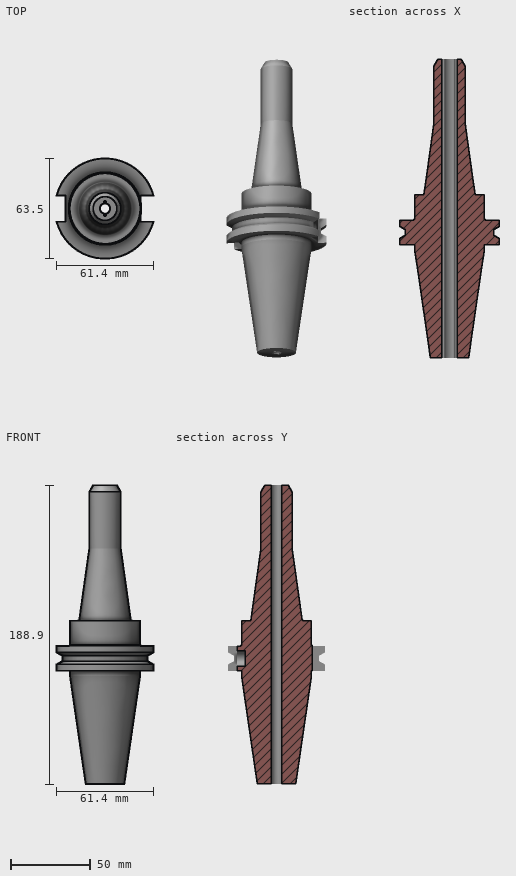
import cadquery as cq
import math

gauge_dia = 44.45
taper_length = 68.25
taper_ratio = 7 / 24
shank_end_dia = gauge_dia - taper_ratio * taper_length

flange_dia = 63.5
flange_bottom = 3.18
flange_height = 15.87
flange_top = flange_bottom + flange_height
groove_root_dia = 56.4
groove_root_width = 3.5
groove_wall_angle = 30
groove_center = 11.1

slot_width = 16.38
slot_floor_minus_x = 25.0
slot_floor_plus_x = 22.6
side_hole_dia = 9.5
side_hole_depth = 5.0

collar_dia = gauge_dia
collar_top = 35.05
cone_base_dia = 32.8
nose_dia = 20.0
nose_length = 40.0
nose_top = 120.65
nose_bottom = nose_top - nose_length
tip_dia = 15.0
tip_angle = 30
tip_height = (nose_dia - tip_dia) / 2 / math.tan(math.radians(tip_angle))
root_fillet = 0.8

bore_dia = 6.35
coolant_hole_dia = 1.4
coolant_hole_offset = 4.0


def fillet_inner_corner(body, radius, height):
    """Fillet the circular inner corner of the given radius at the given height."""
    reach = radius + root_fillet / 2
    corner = cq.selectors.BoxSelector(
        (-reach, -reach, height - root_fillet / 2),
        (reach, reach, height + root_fillet / 2),
        boundingbox=True,
    )
    return body.edges(corner).fillet(root_fillet)


def make_body():
    """Revolve the half outline about Z, then round the two inner corners."""
    flange_r = flange_dia / 2
    groove_r = groove_root_dia / 2
    root_half = groove_root_width / 2
    mouth_half = root_half + (flange_r - groove_r) * math.tan(math.radians(groove_wall_angle))
    outline = [
        (0, -taper_length),
        (shank_end_dia / 2, -taper_length),
        (gauge_dia / 2, 0),
        (gauge_dia / 2, flange_bottom),
        (flange_r, flange_bottom),
        (flange_r, groove_center - mouth_half),
        (groove_r, groove_center - root_half),
        (groove_r, groove_center + root_half),
        (flange_r, groove_center + mouth_half),
        (flange_r, flange_top),
        (collar_dia / 2, flange_top),
        (collar_dia / 2, collar_top),
        (cone_base_dia / 2, collar_top),
        (nose_dia / 2, nose_bottom),
        (nose_dia / 2, nose_top - tip_height),
        (tip_dia / 2, nose_top),
        (0, nose_top),
    ]
    body = cq.Workplane("XZ").polyline(outline).close().revolve(360, (0, 0, 0), (0, 1, 0))
    body = fillet_inner_corner(body, collar_dia / 2, flange_top)
    return fillet_inner_corner(body, cone_base_dia / 2, collar_top)


def drive_slot(direction, floor):
    """Box cutting the flange from the slot floor outward along +X (1) or -X (-1)."""
    depth = flange_dia / 2 - floor
    return (
        cq.Workplane("XY", origin=(direction * (floor + depth), 0, flange_bottom))
        .box(2 * depth, slot_width, flange_height, centered=(True, True, False))
    )


def side_hole():
    """Blind hole entering the floor of the -X slot at mid height of the flange."""
    hole_z = flange_bottom + flange_height / 2
    return (
        cq.Workplane("YZ", origin=(-slot_floor_minus_x, 0, hole_z))
        .circle(side_hole_dia / 2)
        .extrude(side_hole_depth)
    )


def bores():
    """Through bore along Z with a small parallel hole on its +Y and -Y sides."""
    length = taper_length + nose_top
    base = cq.Workplane("XY", origin=(0, 0, -taper_length))
    center_bore = base.circle(bore_dia / 2).extrude(length)
    offset = coolant_hole_offset
    coolant_holes = (
        base.pushPoints([(0, offset), (0, -offset)])
        .circle(coolant_hole_dia / 2)
        .extrude(length)
    )
    return center_bore.union(coolant_holes)


result = (
    make_body()
    .cut(drive_slot(-1, slot_floor_minus_x))
    .cut(drive_slot(1, slot_floor_plus_x))
    .cut(side_hole())
    .cut(bores())
)